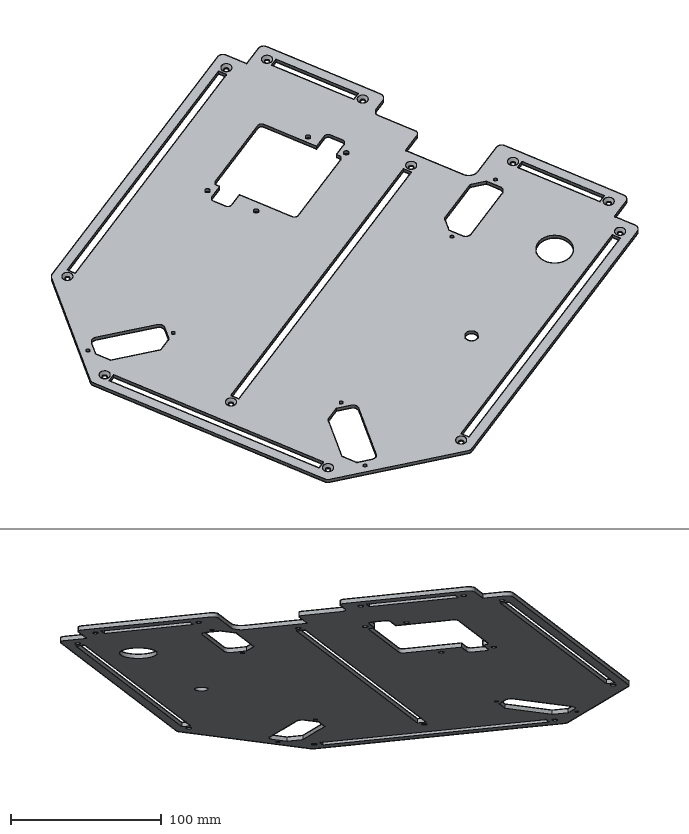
import cadquery as cq

side = 320.0
thickness = 3.0
half = side / 2
ear_step = 20.0
corner_cut = 70.0
corner_radius = 4.0

recess_left = -45.0
recess_middle = -10.0
recess_right = 41.3
shelf_depth = 17.5
recess_depth = 36.0
recess_radius = 7.0
shelf_radius = 3.0

rail_inset = 10.0
slot_width = 6.0
slot_gap = 5.0
screw_diameter = 3.5
countersink_diameter = 7.5
countersink_angle = 90
tab_rail_length = 73.0
corner_clearance = 4.8
rail_far = half - ear_step - rail_inset
rail_near = half - corner_cut - corner_clearance

window_center = (-75.0, 66.5)
window_side = 63.0
window_radius = 3.0
notch_width = 15.0
notch_depth = 13.5
notch_offset = 19.2
board_screws = [(2.5, 36.0), (31.7, 36.0), (-32.0, -38.7), (5.0, -38.7)]

socket_length = 50.5
socket_width = 22.5
socket_flat_side = 10.0
socket_chamfer = 8.0
socket_radius = 4.0
socket_screw_diameter = 2.5
socket_screw_spacing = 59.0
upper_socket = (55.0, 100.8)
lower_socket_x = 84.8
lower_socket_y = -115.5
lower_left_turn = 135
lower_right_turn = 45

large_hole_diameter = 25.0
large_hole_center = (120.0, 95.0)
small_hole_diameter = 9.0
small_hole_center = (110.0, 0)


def make_plate():
    outline = [
        (-half, half - ear_step),
        (-half + ear_step, half - ear_step),
        (-half + ear_step, half),
        (recess_left, half),
        (recess_left, half - shelf_depth),
        (recess_middle, half - shelf_depth),
        (recess_middle, half - recess_depth),
        (recess_right, half - recess_depth),
        (recess_right, half),
        (half - ear_step, half),
        (half - ear_step, half - ear_step),
        (half, half - ear_step),
        (half, -half + corner_cut),
        (half - corner_cut, -half),
        (-half + corner_cut, -half),
        (-half, -half + corner_cut),
    ]
    plate = cq.Workplane("XY").polyline(outline).close().extrude(thickness)

    special_radii = {
        (-half + ear_step, half - ear_step): 0,
        (half - ear_step, half - ear_step): 0,
        (recess_middle, half - recess_depth): 0,
        (recess_middle, half - shelf_depth): shelf_radius,
        (recess_right, half - recess_depth): recess_radius,
    }
    for x, y in outline:
        radius = special_radii.get((x, y), corner_radius)
        if radius > 0:
            corner = cq.selectors.NearestToPointSelector((x, y, thickness / 2))
            plate = plate.edges("|Z").edges(corner).fillet(radius)
    return plate


def cut_rail(plate, start, end):
    """Cut a rail between two screw centres lying along X or along Y."""
    span_x = abs(end[0] - start[0])
    span_y = abs(end[1] - start[1])
    slot_length = max(span_x, span_y) - 2 * slot_gap
    size = (slot_length, slot_width) if span_x > span_y else (slot_width, slot_length)
    middle = ((start[0] + end[0]) / 2, (start[1] + end[1]) / 2)
    slot = cq.Workplane("XY").center(*middle).rect(*size).extrude(thickness)
    return (
        plate.cut(slot)
        .faces(">Z").workplane(origin=(0, 0))
        .pushPoints([start, end])
        .cskHole(screw_diameter, countersink_diameter, countersink_angle)
    )


def round_cutters(points, diameter):
    """Through-hole cutters at the given points."""
    return cq.Workplane("XY").pushPoints(points).circle(diameter / 2).extrude(thickness)


def make_board_window():
    window = cq.Workplane("XY").rect(window_side, window_side).extrude(thickness)
    window = window.edges("|Z").fillet(window_radius)
    notch_reach = window_side / 2 + notch_depth
    for direction in (1, -1):
        notch = (
            cq.Workplane("XY")
            .center(direction * notch_offset, direction * notch_reach / 2)
            .rect(notch_width, notch_reach)
            .extrude(thickness)
            .edges("|Z").fillet(window_radius)
        )
        window = window.union(notch)
    window = window.union(round_cutters(board_screws, screw_diameter))
    return window.translate((*window_center, 0))


def make_socket(center, angle):
    """Socket cutter with its long axis on Y and chamfers on -X, then turned."""
    opening = (
        cq.Workplane("XY")
        .center(socket_flat_side - socket_width / 2, 0)
        .rect(socket_width, socket_length)
        .extrude(thickness)
    )
    opening = opening.edges("|Z and <X").chamfer(socket_chamfer)
    opening = opening.edges("|Z and >X").fillet(socket_radius)
    screw_y = socket_screw_spacing / 2
    screws = round_cutters([(0, screw_y), (0, -screw_y)], socket_screw_diameter)
    socket = opening.union(screws)
    return socket.rotate((0, 0, 0), (0, 0, 1), angle).translate((*center, 0))


result = make_plate()

edge_line = half - rail_inset
tab_rail_end = rail_far - tab_rail_length
for mirror in (1, -1):
    result = cut_rail(result, (mirror * tab_rail_end, edge_line), (mirror * rail_far, edge_line))
    result = cut_rail(result, (mirror * edge_line, rail_far), (mirror * edge_line, -rail_near))
result = cut_rail(result, (-rail_near, -edge_line), (rail_near, -edge_line))
result = cut_rail(result, (0, edge_line - recess_depth), (0, -rail_far))

result = result.cut(make_board_window())

result = result.cut(make_socket(upper_socket, 0))
result = result.cut(make_socket((-lower_socket_x, lower_socket_y), lower_left_turn))
result = result.cut(make_socket((lower_socket_x, lower_socket_y), lower_right_turn))

result = result.cut(round_cutters([large_hole_center], large_hole_diameter))
result = result.cut(round_cutters([small_hole_center], small_hole_diameter))